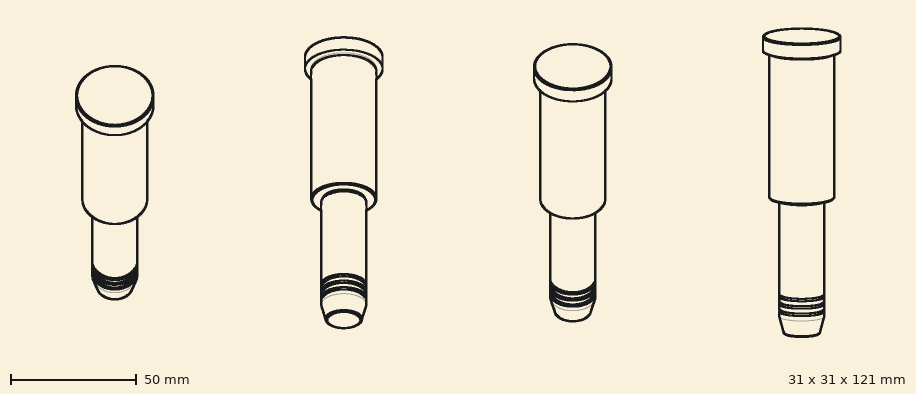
import cadquery as cq
import math

total_length = 121.0
head_radius = 31.0 / 2
head_height = 6.0
head_edge_chamfer = 0.5
body_radius = 26.0 / 2
body_length = 60.0
body_end_chamfer = 0.5
pin_radius = 18.0 / 2

neck_length = 1.0
neck_depth = 0.5
neck_radius = pin_radius - neck_depth

groove_radius = 0.5
groove_width = 2 * groove_radius
ring_count = 3
ring_pitch = 3.0
lowest_ring_bottom = 9.0

tip_length = 7.0
tip_cone_angle = math.radians(15.0)
tip_end_chamfer = 0.5

head_bottom = total_length - head_height
body_bottom = head_bottom - body_length


def add_groove(profile, radius, bottom):
    """Continue the profile up to a half-round groove in a wall of the given radius, and through it."""
    deepest_point = (-(radius - groove_radius), bottom + groove_radius)
    groove_top = (-radius, bottom + groove_width)
    return profile.lineTo(-radius, bottom).threePointArc(deepest_point, groove_top)


def make_half_profile():
    """Outline of one half of the pin, on the -X side of its axis, from the tip upwards."""
    tip_end_radius = pin_radius - tip_length * math.tan(tip_cone_angle)
    profile = (
        cq.Workplane("XZ")
        .lineTo(-tip_end_radius, 0)
        .lineTo(-pin_radius, tip_length)
    )
    for index in range(ring_count):
        profile = add_groove(profile, pin_radius, lowest_ring_bottom + index * ring_pitch)
    profile = profile.lineTo(-pin_radius, body_bottom - neck_length)
    profile = profile.lineTo(-neck_radius, body_bottom - neck_length)
    profile = profile.lineTo(-neck_radius, body_bottom)
    profile = profile.lineTo(-(body_radius - body_end_chamfer), body_bottom)
    profile = profile.lineTo(-body_radius, body_bottom + body_end_chamfer)
    profile = add_groove(profile, body_radius, head_bottom - groove_width)
    return (
        profile.lineTo(-head_radius, head_bottom)
        .lineTo(-head_radius, total_length - head_edge_chamfer)
        .lineTo(-(head_radius - head_edge_chamfer), total_length)
        .lineTo(0, total_length)
        .close()
    )


pin = make_half_profile().revolve(360, (0, 0, 0), (0, 1, 0))
result = pin.faces("<Z").chamfer(tip_end_chamfer)